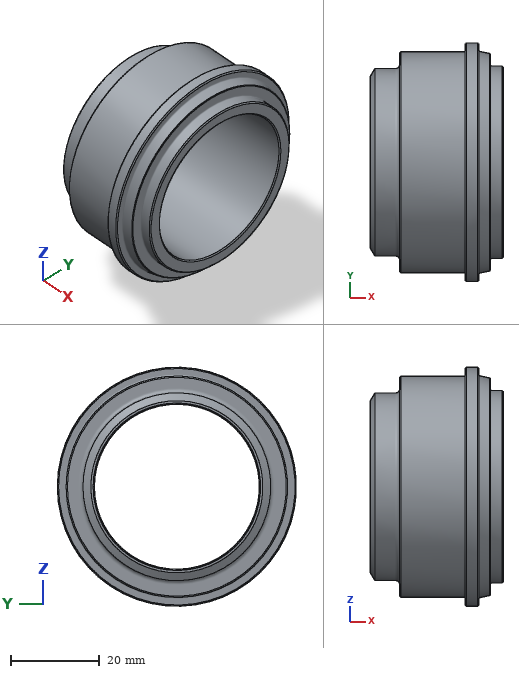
import cadquery as cq
import math

total_length = 30.0
body_start = 6.65
flange_start = 21.45
flange_end = 24.5
taper_end = 27.1

bore_radius = 37.2 / 2
neck_radius = 42.4 / 2
body_radius = 50.0 / 2
flange_radius = 54 / 2
spigot_radius = 43.5 / 2

taper_base_radius = body_radius + 0.1
taper_angle = math.radians(12)
taper_tip_radius = taper_base_radius - (taper_end - flange_end) * math.tan(taper_angle)

neck_chamfer_length = 1.0
neck_chamfer_depth = neck_chamfer_length * math.tan(math.radians(60))
neck_fillet = 0.95
edge_break = 0.3
small_fillet = 0.3
bore_chamfer = 0.3
taper_tip_break = 0.15


def ring_blank():
    """Stepped ring revolved about the X axis, with sharp steps and a tapered collar."""
    outline = [
        (0, bore_radius),
        (0, neck_radius - neck_chamfer_depth),
        (neck_chamfer_length, neck_radius),
        (body_start, neck_radius),
        (body_start, body_radius),
        (flange_start, body_radius),
        (flange_start, flange_radius),
        (flange_end, flange_radius),
        (flange_end, taper_base_radius),
        (taper_end, taper_tip_radius),
        (taper_end, spigot_radius),
        (total_length, spigot_radius),
        (total_length, bore_radius),
    ]
    return cq.Workplane("XY").polyline(outline).close().revolve(360, (0, 0, 0), (1, 0, 0))


def circle_at(x, radius):
    """Selector for the circular edge at station x with the given radius."""
    tolerance = 0.005
    low = (x - tolerance, -radius - tolerance, -radius - tolerance)
    high = (x + tolerance, radius + tolerance, radius + tolerance)
    inner = radius - tolerance
    outside = cq.selectors.BoxSelector(low, high, boundingbox=True)
    inside = cq.selectors.BoxSelector(
        (low[0], -inner, -inner), (high[0], inner, inner), boundingbox=True
    )
    return outside - inside


ring = ring_blank()

inside_corners = [
    (body_start, neck_radius, neck_fillet),
    (flange_start, body_radius, small_fillet),
    (flange_end, taper_base_radius, small_fillet),
    (taper_end, spigot_radius, small_fillet),
]
for x, radius, fillet in inside_corners:
    ring = ring.edges(circle_at(x, radius)).fillet(fillet)

outer_edges = [
    (body_start, body_radius),
    (flange_start, flange_radius),
    (flange_end, flange_radius),
    (total_length, spigot_radius),
]
for x, radius in outer_edges:
    ring = ring.edges(circle_at(x, radius)).chamfer(edge_break)

ring = ring.edges(circle_at(taper_end, taper_tip_radius)).chamfer(taper_tip_break)

for x in (0, total_length):
    ring = ring.edges(circle_at(x, bore_radius)).chamfer(bore_chamfer)

result = ring